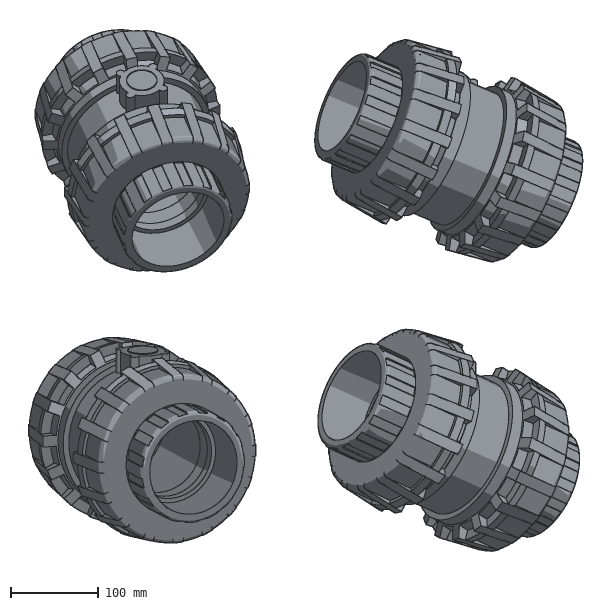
import cadquery as cq
import math

overall_length = 283.0
bore_diameter = 100.0

neck_diameter = 163.9
neck_start_x = -25.0
neck_end_x = 23.2
flange_diameter = 178.0
body_length = 141.0

ball_diameter = 142.5

boss_x = -1.7
boss_diameter = 51.5
boss_top = 106.0
ear_radius = 5.0
ear_pitch_radius = 27.5
ear_count = 4
ear_start_angle = 45.0
disc_diameter = 34.8
disc_height = 1.0

nut_inner_end = 37.5
nut_outer_end = 99.5
nut_wall = 14.2
nut_mouth_radius = 89.5
rim_edge_radius = 91.0
nut_base_radius = 99.3
nut_fillet = 5.7
rim_floor_radius = 92.8
ring_inner_x = 50.7
ring_outer_x = 60.3
ring_outer_drop = 0.5
nut_rib_count = 16
nut_rib_width = 13.0
nut_rib_tip_x = 42.0
nut_rib_tip_radius = 106.0
nut_rib_root_radius = 99.0
nut_rib_fillet = 4.8

connector_diameter = 131.5
connector_groove_diameter = 128.2
connector_fillet = 4.5
connector_groove_count = 16
connector_groove_angle = 10.0
socket_diameter = 110.0
socket_depth = 59.5

half_length = overall_length / 2
half_body = body_length / 2
bore_radius = bore_diameter / 2
ball_radius = ball_diameter / 2
flange_radius = flange_diameter / 2
connector_radius = connector_diameter / 2
nut_cavity_end = nut_outer_end - nut_wall
rib_slope = (nut_rib_tip_radius - nut_rib_root_radius) / (nut_outer_end - nut_rib_tip_x)
mouth_slope = (nut_rib_tip_x - nut_inner_end) / (nut_rib_tip_radius - nut_mouth_radius)
rim_edge_x = nut_inner_end + mouth_slope * (rim_edge_radius - nut_mouth_radius)


def rib_radius(x):
    """Radius of the tapered rib tops at position x."""
    return nut_rib_root_radius + rib_slope * (nut_outer_end - x)


def cylinder(radius, x_start, x_end):
    """Solid cylinder along X."""
    return cq.Workplane("YZ", origin=(x_start, 0, 0)).circle(radius).extrude(x_end - x_start)


def turned(points):
    """Revolve a closed outline of (x, radius) points about the X axis."""
    return cq.Workplane("XY").polyline(points).close().revolve(360, (0, 0, 0), (1, 0, 0))


def ring_of(piece, count, start_angle=0.0):
    """Copies of a piece spaced evenly about the X axis and joined together."""
    copies = piece.rotate((0, 0, 0), (1, 0, 0), start_angle)
    for index in range(1, count):
        copies = copies.union(piece.rotate((0, 0, 0), (1, 0, 0), start_angle + index * 360 / count))
    return copies


def at_both_ends(body):
    """Separate solids: the +X body and its mirror image at the -X end."""
    return [end_body.val() for end_body in (body, body.mirror("YZ"))]


def make_boss():
    """Round boss with four ears and a raised disc, reaching down into the body wall."""
    base = cq.Workplane("XY", origin=(boss_x, 0, ball_radius))
    height = boss_top - ball_radius
    boss = base.circle(boss_diameter / 2).extrude(height)
    ear_centers = base.polarArray(ear_pitch_radius, ear_start_angle, 360, ear_count)
    ears = ear_centers.circle(ear_radius).extrude(height)
    disc = base.circle(disc_diameter / 2).extrude(height + disc_height)
    return boss.union(ears).union(disc)


def make_valve_body():
    """Flanged barrel with the boss, bored through, with a round chamber that seats the ball."""
    body = cylinder(neck_diameter / 2, neck_start_x, neck_end_x)
    body = body.union(cylinder(flange_radius, -half_body, neck_start_x))
    body = body.union(cylinder(flange_radius, neck_end_x, half_body))
    body = body.union(make_boss())
    chamber = cq.Workplane("XY").sphere(ball_radius)
    return body.cut(chamber).cut(cylinder(bore_radius, -half_body, half_body))


def make_ball():
    """Ball pierced by the flow bore."""
    ball = cq.Workplane("XY").sphere(ball_radius)
    return ball.cut(cylinder(bore_radius, -ball_radius, ball_radius))


def make_nut_ribs():
    """Tapered grip ribs, with sloping inner ends, spaced evenly around the nut."""
    envelope = turned([
        (nut_inner_end, 0),
        (nut_inner_end, nut_mouth_radius),
        (nut_rib_tip_x, nut_rib_tip_radius),
        (nut_outer_end, nut_rib_root_radius),
        (nut_outer_end, 0),
    ]).faces(">X").edges().fillet(nut_rib_fillet)
    bar = cq.Workplane("XY").box(
        nut_outer_end, nut_rib_width, nut_rib_tip_radius, centered=(False, True, False)
    )
    return ring_of(bar, nut_rib_count).intersect(envelope)


def make_nut():
    """Nut at the +X end: shell, inner rim with a recessed floor, raised ring and grip ribs."""
    shell = cylinder(nut_base_radius, ring_inner_x, nut_outer_end).faces(">X").edges().fillet(nut_fillet)
    rim = turned([
        (nut_inner_end, 0),
        (nut_inner_end, nut_mouth_radius),
        (rim_edge_x, rim_edge_radius),
        (ring_inner_x, rim_floor_radius),
        (ring_inner_x, 0),
    ])
    ring = turned([
        (ring_inner_x, 0),
        (ring_inner_x, rib_radius(ring_inner_x)),
        (ring_outer_x, rib_radius(ring_outer_x) - ring_outer_drop),
        (ring_outer_x, 0),
    ])
    nut = shell.union(rim).union(ring).union(make_nut_ribs())
    nut = nut.cut(cylinder(flange_radius, nut_inner_end, nut_cavity_end))
    return nut.cut(cylinder(connector_radius, nut_inner_end, nut_outer_end))


def make_connector_grooves():
    """Shallow round-bottomed sectors that leave wide pads on the outside of the pipe end."""
    pitch = 360 / connector_groove_count
    reach = 2 * connector_radius
    half_width = reach * math.tan(math.radians(connector_groove_angle / 2))
    wedge = (
        cq.Workplane("YZ", origin=(nut_outer_end, 0, 0))
        .polyline([(0, 0), (reach, -half_width), (reach, half_width)])
        .close()
        .extrude(half_length - nut_outer_end)
    )
    wedges = ring_of(wedge, connector_groove_count, pitch / 2)
    return wedges.cut(cylinder(connector_groove_diameter / 2, nut_outer_end, half_length))


def make_connector():
    """Connector at the +X end: pipe end, with a collar held inside the nut."""
    pipe = cylinder(connector_radius, half_body, half_length).faces(">X").edges().fillet(connector_fillet)
    pipe = pipe.cut(make_connector_grooves())
    collar = cylinder(flange_radius, half_body, nut_cavity_end)
    socket = cylinder(socket_diameter / 2, half_length - socket_depth, half_length)
    bore = cylinder(bore_radius, half_body, half_length)
    return pipe.union(collar).cut(socket).cut(bore)


valve_body = make_valve_body()
ball = make_ball()
nut = make_nut()
connector = make_connector()

result = cq.Compound.makeCompound([
    valve_body.val(),
    ball.val(),
    *at_both_ends(nut),
    *at_both_ends(connector),
])